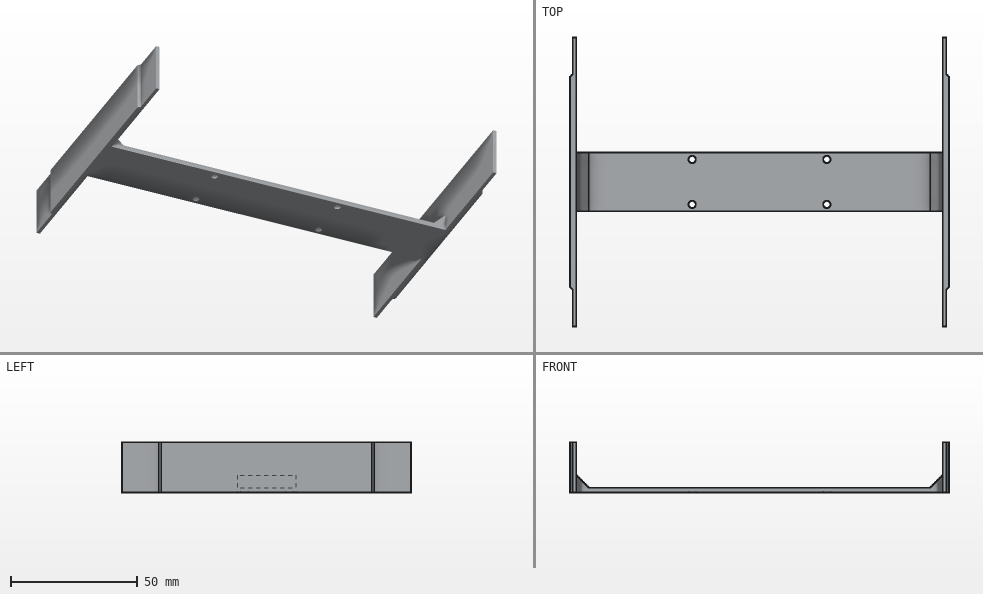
import cadquery as cq

overall_length = 150.04
rail_length = 114.42
rail_height = 20.0
rail_thickness = 2.55
pad_depth = 1.05
pad_length = 83.1
pad_slope_run = pad_depth

plate_width = 23.3
plate_thickness = 2.0
gusset_leg = 5.0

hole_diameter = 2.8
hole_spacing_x = 53.3
hole_spacing_y = 17.8

outer_x = overall_length / 2
rail_inner_x = outer_x - rail_thickness
thin_outer_x = outer_x - pad_depth
half_rail = rail_length / 2
half_pad = pad_length / 2
half_pad_foot = half_pad + pad_slope_run


def make_rail():
    """Upright rail on the +X side, with a raised pad on its outer face."""
    outline = [
        (rail_inner_x, -half_rail),
        (thin_outer_x, -half_rail),
        (thin_outer_x, -half_pad_foot),
        (outer_x, -half_pad),
        (outer_x, half_pad),
        (thin_outer_x, half_pad_foot),
        (thin_outer_x, half_rail),
        (rail_inner_x, half_rail),
    ]
    return cq.Workplane("XY").polyline(outline).close().extrude(rail_height)


def make_gusset():
    """Triangular gusset in the corner between the plate and the +X rail."""
    triangle = [
        (rail_inner_x, plate_thickness),
        (rail_inner_x, plate_thickness + gusset_leg),
        (rail_inner_x - gusset_leg, plate_thickness),
    ]
    profile = cq.Workplane("XZ").polyline(triangle).close()
    return profile.extrude(plate_width / 2, both=True)


def make_plate():
    """Flat base plate that spans the rails, flush with their bottom edges."""
    return cq.Workplane("XY").box(
        2 * rail_inner_x, plate_width, plate_thickness, centered=(True, True, False)
    )


def make_holes():
    """Four through-hole cutters in a rectangular pattern."""
    return (
        cq.Workplane("XY")
        .rarray(hole_spacing_x, hole_spacing_y, 2, 2)
        .circle(hole_diameter / 2)
        .extrude(plate_thickness)
    )


side = make_rail().union(make_gusset())
result = make_plate().cut(make_holes()).union(side).union(side.mirror("YZ"))